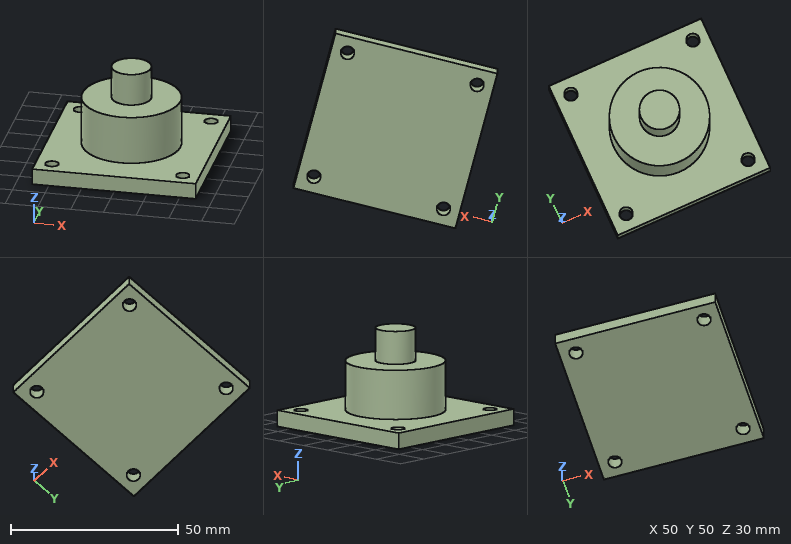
import cadquery as cq

plate_side = 50
plate_thickness = 5

hole_diameter = 4
hole_edge_distance = 5
hole_spacing = plate_side - 2 * hole_edge_distance

boss_diameter = 30
boss_height = 15
shaft_diameter = 12
shaft_height = 10

plate = cq.Workplane("XY").box(plate_side, plate_side, plate_thickness, centered=(True, True, False))

body = plate.faces(">Z").workplane().circle(boss_diameter / 2).extrude(boss_height)
body = body.faces(">Z").workplane().circle(shaft_diameter / 2).extrude(shaft_height)

holes = (
    cq.Workplane("XY")
    .rect(hole_spacing, hole_spacing, forConstruction=True)
    .vertices()
    .circle(hole_diameter / 2)
    .extrude(plate_thickness)
)

result = body.cut(holes)